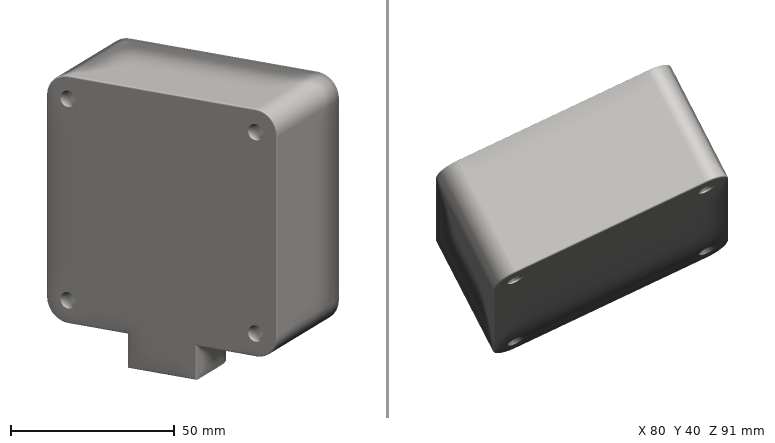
import cadquery as cq

overall_height = 91
body_side = 80.0
corner_radius = 7.5
edge_radius = 0.5
hole_diameter = 5.3
neck_width = 24.0
neck_straight_depth = 16.0

body_depth = body_side / 2
neck_radius = neck_width / 2
neck_length = overall_height - body_side
hole_spacing = body_side - 2 * corner_radius
front_y = -body_depth / 2
body_bottom_z = -body_side / 2
neck_overlap = corner_radius


def make_body():
    """Square housing with rounded corner edges along Y."""
    return (
        cq.Workplane("XZ")
        .rect(body_side, body_side)
        .extrude(body_depth / 2, both=True)
        .edges("|Y")
        .fillet(corner_radius)
    )


def make_neck():
    """D-shaped cable neck: flat at the front, half-round towards the back."""
    round_start_y = front_y + neck_straight_depth
    return (
        cq.Workplane("XY", origin=(0, 0, body_bottom_z - neck_length))
        .moveTo(-neck_radius, front_y)
        .lineTo(neck_radius, front_y)
        .lineTo(neck_radius, round_start_y)
        .threePointArc((0, round_start_y + neck_radius), (-neck_radius, round_start_y))
        .close()
        .extrude(neck_length + neck_overlap)
    )


def make_corner_holes():
    """Through holes concentric with the four rounded corners."""
    return (
        cq.Workplane("XZ")
        .rect(hole_spacing, hole_spacing, forConstruction=True)
        .vertices()
        .circle(hole_diameter / 2)
        .extrude(body_depth, both=True)
    )


housing = make_body().union(make_neck())
housing = housing.faces("<Y or >Y").edges().fillet(edge_radius)
result = housing.cut(make_corner_holes())